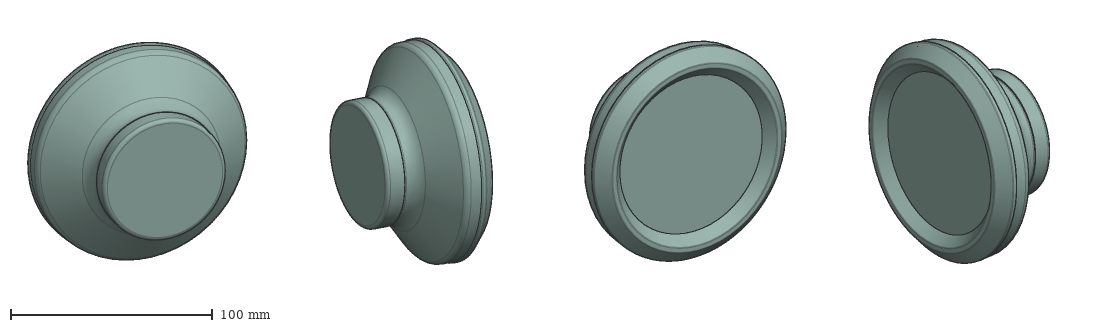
import cadquery as cq
import math


RING_RADIUS = 56.5
RING_THICKNESS = 9.2
RIM_OUTER_RADIUS = 49.9
BEVEL_DEPTH = 6.7
RIM_INNER_RADIUS = 47.2
RECESS_FLOOR_RADIUS = 41.8
RECESS_DEPTH = 5.7
RING_EDGE_FILLET = 0.6

KNOB_RADIUS = 112.0 / 2
SPIGOT_RADIUS = 109.0 / 2
KNOB_LENGTH = 50.0
SHOULDER_START = 14.9
SHOULDER_ROUND = 4.2
NECK_RADIUS = 64.6 / 2
NECK_START = 39.0
NECK_ROUND = 10.2
FOOT_RADIUS = 65.0 / 2
FOOT_START = 39.8
FOOT_FILLET = 2.0


def revolve_about_x(profile):
    return profile.close().revolve(360, (0, 0, 0), (1, 0, 0))


def make_ring():
    """Bevelled ring with a conical opening and a counterbore for the spigot."""
    profile = (
        cq.Workplane("XY")
        .moveTo(0, RIM_INNER_RADIUS)
        .lineTo(0, RIM_OUTER_RADIUS)
        .lineTo(BEVEL_DEPTH, RING_RADIUS)
        .lineTo(RING_THICKNESS, RING_RADIUS)
        .lineTo(RING_THICKNESS, SPIGOT_RADIUS)
        .lineTo(RECESS_DEPTH, SPIGOT_RADIUS)
        .lineTo(RECESS_DEPTH, RECESS_FLOOR_RADIUS)
    )
    ring = revolve_about_x(profile)
    front_edges = ring.faces("<X").edges()
    outer_edges = ring.edges(cq.selectors.RadiusNthSelector(-1))
    return front_edges.add(outer_edges).fillet(RING_EDGE_FILLET)


def flare_angle():
    """Angle to the axis of the line tangent to the shoulder and neck rounds."""
    center_dx = NECK_START - SHOULDER_START
    center_drop = NECK_RADIUS + NECK_ROUND - (KNOB_RADIUS - SHOULDER_ROUND)
    center_distance = math.hypot(center_dx, center_drop)
    center_tilt = math.atan2(center_drop, center_dx)
    return math.asin((SHOULDER_ROUND + NECK_ROUND) / center_distance) - center_tilt


def make_knob():
    """Solid knob: spigot that floors the recess, wide shoulder, conical flare, round neck and a foot."""
    angle = flare_angle()

    def shoulder_point(turn):
        return (
            SHOULDER_START + SHOULDER_ROUND * math.sin(turn),
            KNOB_RADIUS - SHOULDER_ROUND * (1 - math.cos(turn)),
        )

    def neck_point(turn):
        return (
            NECK_START - NECK_ROUND * math.sin(turn),
            NECK_RADIUS + NECK_ROUND * (1 - math.cos(turn)),
        )

    foot_step = FOOT_RADIUS - NECK_RADIUS
    fillet_start = KNOB_LENGTH - FOOT_FILLET
    profile = (
        cq.Workplane("XY")
        .moveTo(RECESS_DEPTH, 0)
        .lineTo(RECESS_DEPTH, SPIGOT_RADIUS)
        .lineTo(RING_THICKNESS, SPIGOT_RADIUS)
        .lineTo(RING_THICKNESS, KNOB_RADIUS)
        .lineTo(SHOULDER_START, KNOB_RADIUS)
        .threePointArc(shoulder_point(angle / 2), shoulder_point(angle))
        .lineTo(*neck_point(angle))
        .threePointArc(neck_point(angle / 2), (NECK_START, NECK_RADIUS))
        .lineTo(FOOT_START, NECK_RADIUS)
        .lineTo(FOOT_START + foot_step, FOOT_RADIUS)
        .lineTo(fillet_start, FOOT_RADIUS)
        .tangentArcPoint((KNOB_LENGTH, FOOT_RADIUS - FOOT_FILLET), relative=False)
        .lineTo(KNOB_LENGTH, 0)
    )
    return revolve_about_x(profile)


ring = make_ring()
knob = make_knob()

result = cq.Compound.makeCompound([ring.val(), knob.val()])